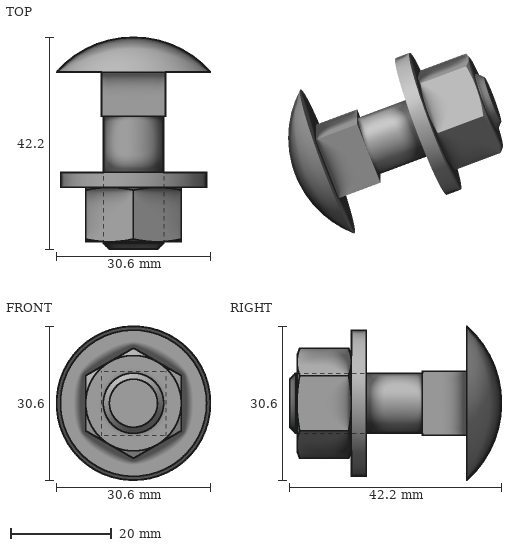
import cadquery as cq
import math

total_length = 42.15

head_diameter = 30.65
head_height = 6.9
square_width = 12.8
square_length = 8.8
shank_diameter = 12.0
tip_chamfer = 1.22

washer_diameter = 29.1
washer_thickness = 3.0
washer_distance = 20.0

nut_across_flats = 19.0
nut_height = 10.8
nut_chamfer_angle = 20.0

bolt_length = total_length - head_height
nut_distance = washer_distance + washer_thickness


def plane_at(distance):
    """Plane across the axis, below the head, with its normal toward the tip."""
    return cq.Workplane("XZ", origin=(0, -distance, 0))


def make_bolt():
    head = (
        cq.Workplane("XY")
        .moveTo(0, 0)
        .lineTo(head_diameter / 2, 0)
        .threePointArc(dome_middle(), (0, head_height))
        .close()
        .revolve(360, (0, 0, 0), (0, 1, 0))
    )
    neck = plane_at(0).rect(square_width, square_width).extrude(square_length)
    shank = (
        plane_at(0)
        .circle(shank_diameter / 2)
        .extrude(bolt_length)
        .faces("<Y")
        .chamfer(tip_chamfer)
    )
    return head.union(neck).union(shank)


def dome_middle():
    """Point halfway along the dome's arc, from the rim to the crown."""
    rim_radius = head_diameter / 2
    sphere_radius = (rim_radius**2 + head_height**2) / (2 * head_height)
    half_angle = math.asin(rim_radius / sphere_radius) / 2
    centre_y = head_height - sphere_radius
    return (
        sphere_radius * math.sin(half_angle),
        centre_y + sphere_radius * math.cos(half_angle),
    )


def make_washer():
    return (
        plane_at(washer_distance)
        .circle(washer_diameter / 2)
        .circle(shank_diameter / 2)
        .extrude(washer_thickness)
    )


def make_nut():
    corner_radius = nut_across_flats / math.sqrt(3)
    flat_radius = nut_across_flats / 2
    corner_drop = (corner_radius - flat_radius) * math.tan(math.radians(nut_chamfer_angle))
    hexagon = (
        plane_at(nut_distance)
        .transformed(rotate=(0, 0, 90))
        .polygon(6, 2 * corner_radius)
        .extrude(nut_height)
    )
    blank = (
        plane_at(nut_distance)
        .circle(corner_radius)
        .extrude(nut_height)
        .faces("<Y or >Y")
        .chamfer(corner_drop, corner_radius - flat_radius)
    )
    bore = plane_at(nut_distance).circle(shank_diameter / 2).extrude(nut_height)
    return hexagon.intersect(blank).cut(bore)


bolt = make_bolt()
washer = make_washer()
nut = make_nut()

result = cq.Compound.makeCompound([bolt.val(), washer.val(), nut.val()])